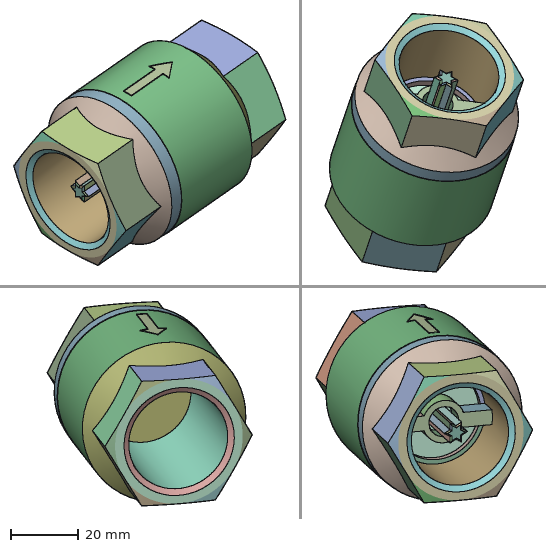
import cadquery as cq
import math

length = 72.0
end_y = length / 2
body_radius = 25.0
cap_radius = 24.85
shoulder_y = 17.6
shoulder_overlap = 0.7
joint_y = -13.3

hex_flats = 39.0
hex_sides = 6
hex_corners = hex_flats / math.cos(math.pi / hex_sides)
hex_chamfer_angle = 15.0

bore_radius = 15.1
bore_mouth_radius = 16.85
bore_chamfer = 1.15

seat_radius = 13.75
seat_y = -12.25
spigot_end_y = -10.1
spigot_radius = 18.0
bar_front_y = -19.15
bar_width = 4.6
hub_radius = 6.55
guide_hole_radius = 4.6

disc_radius = 14.4
disc_thickness = 2.9
stem_points = 6
stem_tip_radius = 3.6
stem_valley_radius = stem_tip_radius / math.sqrt(3)
stem_front_y = -31.25
stem_chamfer = 0.4

arrow_tip_y = 9.9
arrow_head_length = 5.8
arrow_head_width = 8.1
arrow_tail_y = -9.8
arrow_shaft_width = 3.2
arrow_depth = 0.2


def on_plane_at(y):
    """Workplane facing +Y at the given Y, with local x along -X and local y along Z."""
    return cq.Workplane("XZ", origin=(0, y, 0)).transformed(rotate=(0, 180, 0))


def disc(radius, y_from, y_to):
    """Solid cylinder on the Y axis."""
    return on_plane_at(y_from).circle(radius).extrude(y_to - y_from)


def revolved(profile):
    """Revolve (radius, y) points about the Y axis."""
    points = [(y, radius) for radius, y in profile]
    return cq.Workplane("YZ").polyline(points).close().revolve(360, (0, 0, 0), (1, 0, 0))


def hex_end(y_from):
    """Hexagonal prism from y_from to the +Y end, its end corners bevelled by a cone."""
    prism = on_plane_at(y_from).polygon(hex_sides, hex_corners).extrude(end_y - y_from)
    flat_radius = hex_flats / 2
    outside_radius = hex_corners / 2
    drop = (outside_radius - flat_radius) * math.tan(math.radians(hex_chamfer_angle))
    envelope = revolved([
        (0, y_from),
        (outside_radius, y_from),
        (outside_radius, end_y - drop),
        (flat_radius, end_y),
        (0, end_y),
    ])
    return prism.intersect(envelope)


def outer_half(radius, y_from):
    """Round body from y_from to the +Y end: cylinder, 45 degree shoulder and hexagon."""
    shoulder_tip_radius = hex_flats / 2 - shoulder_overlap
    shoulder_tip_y = shoulder_y + radius - shoulder_tip_radius
    barrel = revolved([
        (0, y_from),
        (radius, y_from),
        (radius, shoulder_y),
        (shoulder_tip_radius, shoulder_tip_y),
        (0, shoulder_tip_y),
    ])
    return barrel.union(hex_end(shoulder_y))


def bore(y_from):
    """Bore from y_from to the +Y end, with a chamfered mouth."""
    return revolved([
        (0, y_from),
        (bore_radius, y_from),
        (bore_radius, end_y - bore_chamfer),
        (bore_mouth_radius, end_y),
        (0, end_y),
    ])


def flow_arrow():
    """Cutter for the arrow, which points along +Y."""
    half_head = arrow_head_width / 2
    half_shaft = arrow_shaft_width / 2
    head_base_y = arrow_tip_y - arrow_head_length
    arrow = (
        cq.Workplane("XY")
        .polyline([
            (0, arrow_tip_y),
            (half_head, head_base_y),
            (half_shaft, head_base_y),
            (half_shaft, arrow_tail_y),
            (-half_shaft, arrow_tail_y),
            (-half_shaft, head_base_y),
            (-half_head, head_base_y),
        ])
        .close()
        .extrude(body_radius + arrow_depth)
    )
    return arrow.cut(disc(body_radius - arrow_depth, arrow_tail_y, arrow_tip_y))


def make_housing():
    """Main body with a straight bore, a recess for the cap spigot and the engraved arrow."""
    spigot_recess = disc(spigot_radius, joint_y, spigot_end_y)
    return outer_half(body_radius, joint_y).cut(bore(joint_y)).cut(spigot_recess).cut(flow_arrow())


def make_cap():
    """Screw-in end with the valve seat and the bar that guides the poppet stem."""
    shell = outer_half(cap_radius, -joint_y).rotate((0, 0, 0), (0, 0, 1), 180)
    shell = shell.union(disc(spigot_radius, joint_y, spigot_end_y))
    shell = shell.cut(bore(-seat_y).rotate((0, 0, 0), (0, 0, 1), 180))
    shell = shell.cut(disc(seat_radius, seat_y, spigot_end_y))
    bar_length = 2 * bore_mouth_radius
    bar_depth = seat_y - bar_front_y
    bar = on_plane_at(bar_front_y).rect(bar_length, bar_width).extrude(bar_depth)
    guide = bar.union(disc(hub_radius, bar_front_y, seat_y))
    guide = guide.cut(disc(guide_hole_radius, bar_front_y, seat_y))
    return shell.union(guide)


def make_poppet():
    """Disc resting on the seat, with a star-shaped stem through the guide hole."""
    star = []
    for i in range(2 * stem_points):
        radius = stem_valley_radius if i % 2 else stem_tip_radius
        angle = math.pi * i / stem_points
        star.append((radius * math.cos(angle), radius * math.sin(angle)))
    stem = on_plane_at(stem_front_y).polyline(star).close().extrude(spigot_end_y - stem_front_y)
    stem = stem.faces("<Y").chamfer(stem_chamfer)
    return disc(disc_radius, spigot_end_y, spigot_end_y + disc_thickness).union(stem)


housing = make_housing()
cap = make_cap()
poppet = make_poppet()

result = cq.Compound.makeCompound([
    housing.solids().val(),
    cap.solids().val(),
    poppet.solids().val(),
])